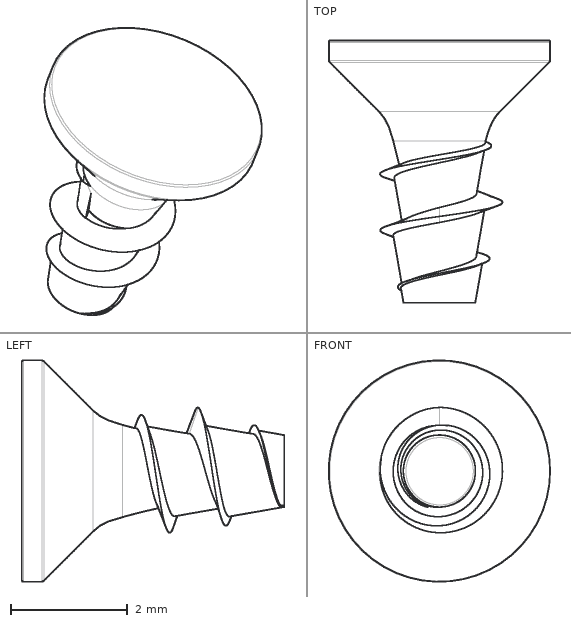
import cadquery as cq
import math


head_radius = 1.9
head_rim_depth = 0.36
head_edge_round = 0.03
rim_round = 0.05
countersink_angle = math.radians(45)
length = 4.5

neck_top_depth = 1.22
neck_top_radius = head_radius - (neck_top_depth - head_rim_depth) * math.tan(countersink_angle)
neck_end_depth = 1.72
neck_end_radius = 0.795

root_radius = 0.64
neck_taper = math.radians(14)
shank_taper = math.radians(10)
tip_radius = 0.618
tip_land = 0.04
tip_dish_depth = 0.05

pitch = 0.975
peak_depth = 3.02
peak_radius = 1.09
lead_in_swell = 0.134
runout_slope = 0.31
thread_lead_turns = 1.4
thread_start_depth = 1.735
tooth_lead_turns = 1.35
runout_turns = 1.45
flank_slope = 0.34
buried_radius = 0.5
points_per_turn = 16


def revolve_about_y(outline):
    """Turn a closed half outline in the XY plane about the Y axis."""
    return outline.close().revolve(360, (0, 0, 0), (0, 1, 0))


def cone(top_depth, top_radius, bottom_depth, bottom_radius):
    """Solid cone frustum on the screw axis."""
    outline = (
        cq.Workplane("XY")
        .moveTo(0, -top_depth)
        .lineTo(top_radius, -top_depth)
        .lineTo(bottom_radius, -bottom_depth)
        .lineTo(0, -bottom_depth)
    )
    return revolve_about_y(outline)


def down_slope(taper):
    """Direction of an outline that narrows toward the tip at the given angle to the axis."""
    return (-math.sin(taper), -math.cos(taper))


def make_head():
    """Countersunk head with its edges rounded and the neck below it."""
    setback = rim_round * math.tan(countersink_angle / 2)
    round_end_radius = head_radius - setback * math.sin(countersink_angle)
    round_end_depth = head_rim_depth + setback * math.cos(countersink_angle)
    outline = (
        cq.Workplane("XY")
        .lineTo(head_radius - head_edge_round, 0)
        .radiusArc((head_radius, -head_edge_round), head_edge_round)
        .lineTo(head_radius, setback - head_rim_depth)
        .tangentArcPoint((round_end_radius, -round_end_depth), relative=False)
        .lineTo(neck_top_radius, -neck_top_depth)
        .spline(
            [(neck_end_radius, -neck_end_depth)],
            tangents=[down_slope(countersink_angle), down_slope(neck_taper)],
            includeCurrent=True,
        )
        .lineTo(0, -neck_end_depth)
    )
    return revolve_about_y(outline)


def make_core():
    """Plain shank inside the thread, with the steeper cone that leads in from the neck."""
    neck_cone_length = (neck_end_radius - root_radius) / math.tan(neck_taper)
    neck_cone_end = neck_end_depth + neck_cone_length
    neck_cone = cone(neck_end_depth, neck_end_radius, neck_cone_end, root_radius)
    inner_core = cone(neck_end_depth, root_radius, length, tip_radius)
    return inner_core.union(neck_cone)


def helix_depth(turns):
    """Depth of the crest at a number of turns past the peak (negative before it)."""
    return peak_depth + pitch * turns


def crest_radius(turns):
    """Crest radius at a number of turns past the peak."""
    travel = pitch * turns
    if turns < 0:
        return peak_radius - lead_in_swell * travel**2
    return peak_radius - runout_slope * travel


def half_width(turns, radius):
    """Half the axial width of the thread at a given radius."""
    return flank_slope * (crest_radius(turns) - radius)


def thread_profile(turns):
    """Corners of the thread section, as (axial offset, radius)."""
    base = half_width(turns, buried_radius)
    return [
        (-base, buried_radius),
        (0, crest_radius(turns)),
        (base, buried_radius),
    ]


def tooth_profile(turns):
    """Corners of the tapered shank surface that spans from one thread turn to the next."""
    next_flank = max(half_width(turns + 1, root_radius), 0)
    end = pitch - next_flank / 2
    slope = math.tan(shank_taper)
    helical_radius = root_radius + (pitch - next_flank) * slope
    tip_cone_radius = tip_radius + (length - helix_depth(turns)) * slope
    start_radius = min(helical_radius, tip_cone_radius)
    return [
        (0, buried_radius),
        (0, start_radius),
        (end, start_radius - end * slope),
        (end, buried_radius),
    ]


def helix_point(turns, offset, radius):
    """Point on a right-handed helix that stands on the +Z side at zero turns."""
    angle = 2 * math.pi * turns
    depth = helix_depth(turns) + offset
    return cq.Vector(-radius * math.sin(angle), -depth, radius * math.cos(angle))


def helical_solid(profile, start, end):
    """Sweep a profile that changes with the turn count along the screw helix."""
    steps = round((end - start) * points_per_turn)
    stations = [start + (end - start) * i / steps for i in range(steps + 1)]
    sections = [[helix_point(t, *corner) for corner in profile(t)] for t in stations]
    rails = [cq.Edge.makeSpline(list(path)) for path in zip(*sections)]
    neighbours = rails[1:] + rails[:1]
    faces = [cq.Face.makeRuledSurface(a, b) for a, b in zip(rails, neighbours)]
    for section in (sections[0], sections[-1]):
        faces.append(cq.Face.makeFromWires(cq.Wire.makePolygon(section, close=True)))
    solid = cq.Solid.makeSolid(cq.Shell.makeShell(faces))
    return cq.Workplane("XY").newObject([solid.fix()])


def make_shank():
    """Shank with its tapered surface between the turns and the two halves of the thread."""
    envelope = cone(thread_start_depth, head_radius, length, head_radius)
    ridges = [
        helical_solid(tooth_profile, -tooth_lead_turns, runout_turns),
        helical_solid(thread_profile, -thread_lead_turns, 0),
        helical_solid(thread_profile, 0, runout_turns),
    ]
    shank = make_core()
    for ridge in ridges:
        shank = shank.union(ridge.intersect(envelope))
    return shank


def make_tip_dish():
    """Shallow spherical dish that leaves a narrow land around the tip."""
    dish_radius = tip_radius - tip_land
    sphere_radius = (dish_radius**2 + tip_dish_depth**2) / (2 * tip_dish_depth)
    outline = (
        cq.Workplane("XY")
        .moveTo(0, -length)
        .lineTo(dish_radius, -length)
        .radiusArc((0, tip_dish_depth - length), -sphere_radius)
    )
    return revolve_about_y(outline)


screw = make_head().union(make_shank()).cut(make_tip_dish())
result = screw.solids()